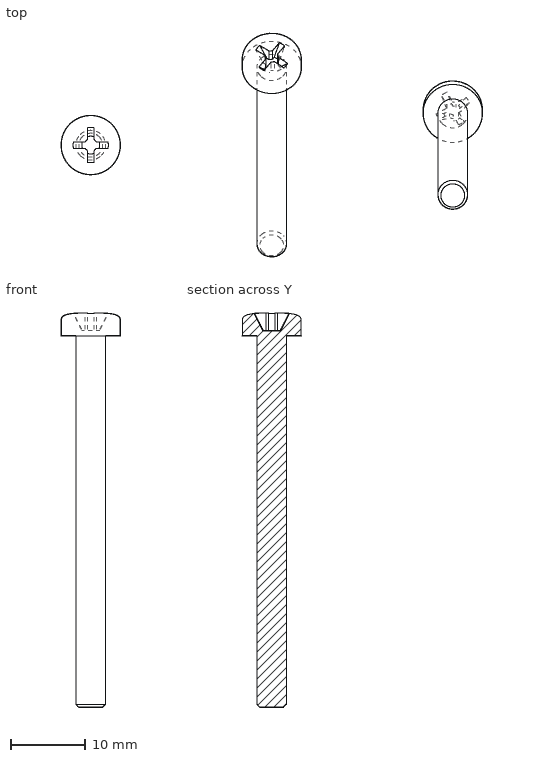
import cadquery as cq

shank_diameter = 4.0
shank_length = 50.0
tip_chamfer = 0.4

head_diameter = 8.0
head_height = 3.1
rim_height = 2.1
crown_axis_pull = 2.5
crown_rim_pull = 0.2

recess_depth = 2.4
wing_span_top = 4.8
wing_span_floor = 2.4
wing_width = 0.86
core_width = 1.7


def make_shank():
    """Plain cylinder below the head with a chamfered tip."""
    shank = cq.Workplane("XY").circle(shank_diameter / 2).extrude(-shank_length)
    return shank.faces("<Z").chamfer(tip_chamfer)


def make_head():
    """Revolve a cylindrical rim topped by one smooth curve, flat at the axis and upright at the rim."""
    rim_radius = head_diameter / 2
    profile = (
        cq.Workplane("XZ")
        .lineTo(rim_radius, 0)
        .lineTo(rim_radius, rim_height)
        .bezier(
            [
                (rim_radius, rim_height + crown_rim_pull),
                (rim_radius, head_height),
                (crown_axis_pull, head_height),
                (0, head_height),
            ],
            includeCurrent=True,
        )
        .close()
    )
    return profile.revolve(360, (0, 0, 0), (0, 1, 0))


def make_recess():
    """Intersect a cross-shaped prism with a cone that slopes the wing ends toward the floor."""
    floor_plane = cq.Workplane("XY").workplane(offset=head_height - recess_depth)
    wing = floor_plane.rect(wing_span_top, wing_width).extrude(recess_depth)
    crossing_wing = floor_plane.rect(wing_width, wing_span_top).extrude(recess_depth)
    core = floor_plane.transformed(rotate=(0, 0, 45)).rect(core_width, core_width).extrude(recess_depth)
    cone = (
        floor_plane.circle(wing_span_floor / 2)
        .workplane(offset=recess_depth)
        .circle(wing_span_top / 2)
        .loft(ruled=True)
    )
    return wing.union(crossing_wing).union(core).intersect(cone)


result = make_head().union(make_shank()).cut(make_recess())